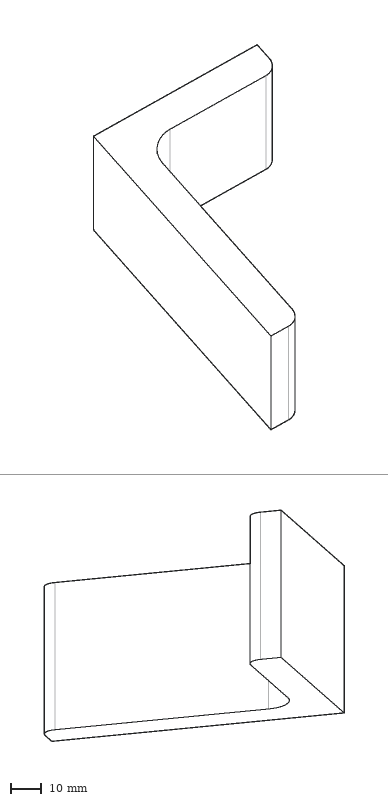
import cadquery as cq

long_leg = 100.0
short_leg = 65.0
length = 50.0
thickness = 12.0
root_radius = 10.0
toe_radius = 5.0

angle = (
    cq.Workplane("XY")
    .polyline([
        (0, 0),
        (long_leg, 0),
        (long_leg, thickness),
        (thickness, thickness),
        (thickness, short_leg),
        (0, short_leg),
    ])
    .close()
    .extrude(length)
)


def round_inner_edge(body, x, y, radius):
    """Round the vertical edge that passes through (x, y)."""
    edge = cq.selectors.NearestToPointSelector((x, y, length / 2))
    return body.edges("|Z").edges(edge).fillet(radius)


angle = round_inner_edge(angle, thickness, thickness, root_radius)
angle = round_inner_edge(angle, long_leg, thickness, toe_radius)
angle = round_inner_edge(angle, thickness, short_leg, toe_radius)

result = angle